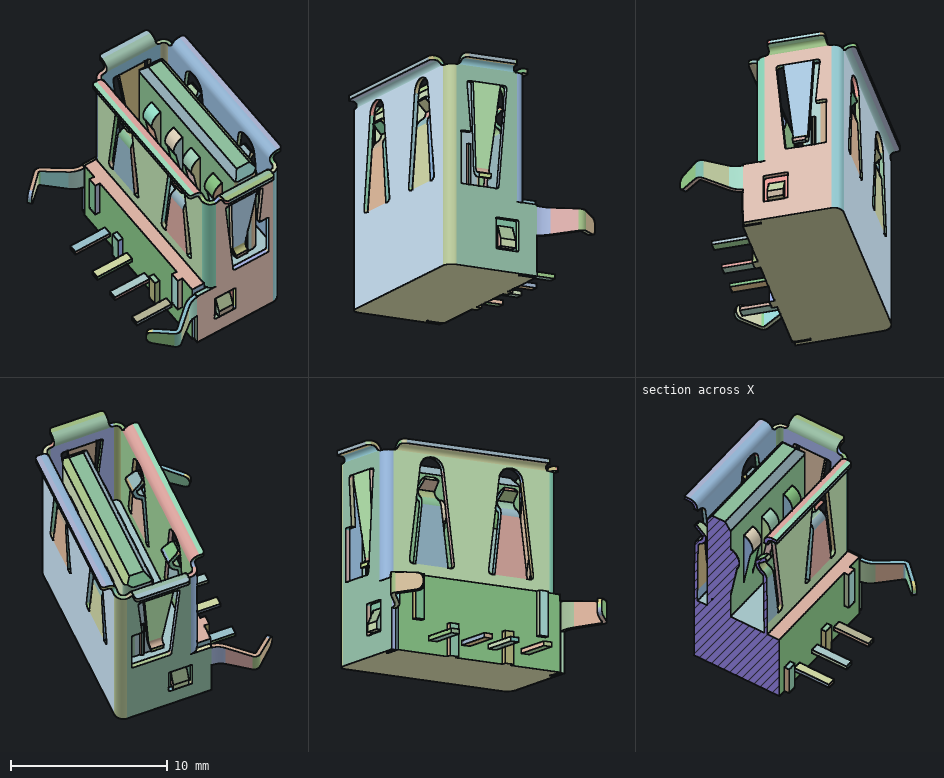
import cadquery as cq
import math


sheet = 0.3
shell_x = 13.1
shell_y = 5.72
corner_r = 0.65
bend_r = corner_r - sheet / 2
total_z = 14.0
lip_z = total_z - corner_r
half_x = shell_x / 2
half_y = shell_y / 2
cavity_x = shell_x - 2 * sheet
cavity_y = shell_y - 2 * sheet

flange_reach = 1.03
flange_root_r = 0.3
flange_corner_r = 0.25

spring_x = 3.0
window_base_z = 6.06
window_base_half = 1.73
window_arch_z = 12.3
window_arch_r = 0.91
slot_w = 0.5
spring_tip_half = 0.5
spring_bend_z = 10.34
spring_dip_z = 10.7
spring_lip_z = 11.2
spring_end_z = 11.83
spring_top_z = 11.97
spring_lean = 0.05
spring_depth = 0.66
spring_lip_reach = 0.7
spring_bend_r = 0.5
spring_dip_r = 0.72
spring_lip_r = sheet / 2
spring_tip_r = 0.35

side_window_top_z = 12.36
side_window_base_z = 5.45
side_window_top_half = 1.46
side_window_base_half = 0.86
side_relief_y = 1.88
side_relief_z = 9.0
side_window_r = 0.2
side_spring_top_half = 1.0
side_spring_tip_half = 0.42
side_spring_depth = 0.66
side_spring_tip_z = 6.15
side_spring_root_r = 0.5
side_spring_hook_r = 0.5
side_spring_hook_reach = 0.57

cheek_front_y = -3.66
cheek_top_z = 4.76
leg_z = 3.71
leg_root_half = 0.985
leg_tip_half = 0.52
leg_tip_y = -7.78
leg_tip_x = -6.66
leg_bend_y = -4.18
leg_apex_y = -6.15
leg_apex_x = -8.052
leg_bend_r = 1.45
leg_apex_r = 0.27
leg_tip_r = 0.45

barb_y = -1.49
barb_w = 1.08
barb_stand_out = 0.11
barb_reach = half_x + barb_stand_out
barb_base_z = 1.63
barb_ramp_z = 2.15
barb_top_z = 3.08
latch_w = 1.64
latch_base_z = 1.44
latch_top_z = 3.54
latch_r = 0.12

housing_front_y = -3.77
housing_front_x = 12.28
housing_top_z = 5.12
rib_w = 0.66
rib_depth = 0.36
rib_split_z = 2.15
upper_rib_x = 4.7
lower_rib_x = 2.09

tongue_x = 11.12
tongue_back_y = 1.86
tongue_front_y = 0.0
tongue_back_r = 0.62
tongue_front_r = 0.18
tongue_shoulder_z = 12.84
tongue_tip_z = 13.45
tongue_taper_x = 0.53
tongue_taper_y = 0.43
side_rib_y = 0.775
side_rib_base_w = 0.3
side_rib_crest_w = 0.14
side_rib_h = 0.1
side_rib_top_z = 8.45

pin_xs = (-3.5, -1.0, 1.0, 3.5)
pin_w = 0.6
pin_t = 0.3
pin_z = 1.03
pin_tip_y = -6.46
contact_w = 1.0
contact_root_depth = 0.3
contact_root_z = 7.0
contact_flat_z = 9.72
contact_tip_z = 11.22
contact_flat_y = -0.5
contact_peak_y = -0.66


def box(x0, x1, y0, y1, z0, z1):
    """Box given by its limits along each axis."""
    return cq.Workplane("XY").box(x1 - x0, y1 - y0, z1 - z0, centered=False).translate((x0, y0, z0))


def both_sides(body, plane):
    """The body together with its mirror image."""
    return body.union(body.mirror(plane))


def unit(start, end):
    """Unit vector pointing from start to end."""
    length = math.dist(start, end)
    return ((end[0] - start[0]) / length, (end[1] - start[1]) / length)


def turn_angle(d_in, d_out):
    """Signed angle from heading d_in to heading d_out, positive to the left."""
    cross = d_in[0] * d_out[1] - d_in[1] * d_out[0]
    dot = d_in[0] * d_out[0] + d_in[1] * d_out[1]
    return math.atan2(cross, dot)


def rounded_polygon(plane, corners):
    """Closed outline through (point, radius) corners; a radius of zero leaves a corner sharp."""
    outline = cq.Workplane(plane).moveTo(*corners[0][0])
    for index in range(1, len(corners)):
        corner, radius = corners[index]
        if radius == 0:
            outline = outline.lineTo(*corner)
            continue
        before = corners[index - 1][0]
        after = corners[(index + 1) % len(corners)][0]
        d_in = unit(before, corner)
        d_out = unit(corner, after)
        turn = turn_angle(d_in, d_out)
        setback = radius * math.tan(abs(turn) / 2)
        arc_end = (corner[0] + d_out[0] * setback, corner[1] + d_out[1] * setback)
        outline = outline.lineTo(corner[0] - d_in[0] * setback, corner[1] - d_in[1] * setback)
        outline = outline.radiusArc(arc_end, -math.copysign(radius, turn))
    return outline.close()


def bent_strip(plane, path, radii, half_width):
    """Sheet strip whose mid-line follows path, with one mid-line bend radius per inner point."""
    headings = [unit(start, end) for start, end in zip(path, path[1:])]
    headings = [headings[0]] + headings + [headings[-1]]
    radii = [0] + list(radii) + [0]
    left = []
    right = []
    for point, radius, d_in, d_out in zip(path, radii, headings, headings[1:]):
        turn = turn_angle(d_in, d_out)
        spread = 1 + math.cos(turn)
        mitre = ((-d_in[1] - d_out[1]) / spread, (d_in[0] + d_out[0]) / spread)
        for side, shift in ((left, sheet / 2), (right, -sheet / 2)):
            corner = (point[0] + mitre[0] * shift, point[1] + mitre[1] * shift)
            corner_radius = max(radius - math.copysign(1, turn) * shift, 0) if radius else 0
            side.append((corner, corner_radius))
    return rounded_polygon(plane, left + right[::-1]).extrude(half_width, both=True)


def shell_tube():
    outer = cq.Workplane("XY").rect(shell_x, shell_y).extrude(lip_z).edges("|Z").fillet(corner_r)
    inner = cq.Workplane("XY").rect(cavity_x, cavity_y).extrude(lip_z).edges("|Z").fillet(corner_r - sheet)
    return outer.cut(inner)


def flange(inner_face, half_width):
    """Mouth flange flaring towards -Y from a wall whose inner face is at y = -inner_face."""
    mid = inner_face + sheet / 2
    tip = inner_face + flange_reach
    path = [(-mid, lip_z - sheet), (-mid, total_z - sheet / 2), (-tip, total_z - sheet / 2)]
    root_half = half_width + flange_root_r
    body = bent_strip("YZ", path, [bend_r], root_half)
    outline = (
        cq.Workplane("XZ")
        .moveTo(-root_half, lip_z)
        .radiusArc((-half_width, lip_z + flange_root_r), -flange_root_r)
        .lineTo(-half_width, total_z)
        .lineTo(half_width, total_z)
        .lineTo(half_width, lip_z + flange_root_r)
        .radiusArc((root_half, lip_z), -flange_root_r)
        .close()
        .extrude(tip)
    )
    return body.intersect(outline).edges("|Z and <Y").fillet(flange_corner_r)


def mouth_flanges():
    wide = flange(cavity_y / 2, half_x - corner_r - flange_root_r)
    narrow = flange(cavity_x / 2, half_y - corner_r - flange_root_r).rotate((0, 0, 0), (0, 0, 1), -90)
    return both_sides(wide, "XZ").union(both_sides(narrow, "YZ"))


def spring_window():
    """Arched tapering opening through both wide walls, centred on x = 0."""
    slope = math.atan2(window_base_half - window_arch_r, window_arch_z - window_base_z)
    tangent_x = window_arch_r * math.cos(slope)
    tangent_z = window_arch_z + window_arch_r * math.sin(slope)
    body = (
        cq.Workplane("XZ")
        .moveTo(-window_base_half, window_base_z)
        .lineTo(-tangent_x, tangent_z)
        .threePointArc((0, window_arch_z + window_arch_r), (tangent_x, tangent_z))
        .lineTo(window_base_half, window_base_z)
        .close()
        .extrude(shell_y, both=True)
    )
    return body.edges("|Y and <Z").fillet(slot_w / 2)


def contact_spring():
    """Spring finger in the -Y wall, dipping into the cavity and flaring out at its tip."""
    mid_y = -half_y + sheet / 2
    inner_y = mid_y + spring_depth
    path = [
        (mid_y, window_base_z - slot_w / 2),
        (mid_y, window_base_z),
        (mid_y + spring_lean, spring_bend_z),
        (inner_y, spring_dip_z),
        (inner_y, spring_lip_z),
        (inner_y - spring_lip_reach, spring_end_z),
    ]
    body = bent_strip("YZ", path, [0, spring_bend_r, spring_dip_r, spring_lip_r], window_base_half)
    root_half = window_base_half - slot_w
    outline = (
        cq.Workplane("XZ")
        .moveTo(-root_half, window_base_z)
        .lineTo(-spring_tip_half, spring_top_z)
        .lineTo(spring_tip_half, spring_top_z)
        .lineTo(root_half, window_base_z)
        .close()
        .extrude(shell_y, both=True)
        .edges("|Y and >Z")
        .fillet(spring_tip_r)
    )
    return body.intersect(outline)


def side_window():
    """Opening through both narrow walls: a downward taper with a square relief at the back."""
    taper = (
        cq.Workplane("YZ")
        .polyline([
            (-side_window_top_half, side_window_top_z),
            (side_window_top_half, side_window_top_z),
            (side_window_base_half, side_window_base_z),
            (-side_window_base_half, side_window_base_z),
        ])
        .close()
        .extrude(shell_x, both=True)
        .edges("|X")
        .fillet(side_window_r)
    )
    relief = box(-shell_x, shell_x, 0, side_relief_y, side_window_base_z, side_relief_z)
    return taper.union(relief.edges("|X and >Y").fillet(side_window_r / 2))


def side_spring():
    """Spring finger of the -X wall, leaning inwards and hooked outwards at its lower end."""
    top_x = -half_x + sheet / 2
    low_x = top_x + side_spring_depth
    tip_mid_z = side_spring_tip_z + sheet / 2
    path = [
        (top_x, side_window_top_z + side_window_r),
        (top_x, side_window_top_z),
        (low_x, tip_mid_z),
        (low_x - side_spring_hook_reach, tip_mid_z),
    ]
    body = bent_strip("XZ", path, [side_spring_root_r, side_spring_hook_r], side_window_top_half)
    outline = (
        cq.Workplane("YZ")
        .polyline([
            (-side_spring_top_half, side_window_top_z),
            (side_spring_top_half, side_window_top_z),
            (side_spring_tip_half, side_spring_tip_z),
            (-side_spring_tip_half, side_spring_tip_z),
        ])
        .close()
        .extrude(shell_x, both=True)
    )
    return body.intersect(outline)


def board_leg():
    """Zigzag snap leg continuing the -X cheek towards -Y, tapering to a rounded tip."""
    mid_x = -half_x + sheet / 2
    path = [
        (mid_x, cheek_front_y),
        (mid_x, leg_bend_y),
        (leg_apex_x, leg_apex_y),
        (leg_tip_x, leg_tip_y + sheet / 2 * math.sqrt(0.5)),
    ]
    body = bent_strip("XY", path, [leg_bend_r, leg_apex_r], total_z)
    taper = (
        cq.Workplane("YZ")
        .polyline([
            (cheek_front_y, leg_z - leg_root_half),
            (cheek_front_y, leg_z + leg_root_half),
            (leg_tip_y, leg_z + leg_tip_half),
            (leg_tip_y, leg_z - leg_tip_half),
        ])
        .close()
        .extrude(shell_x, both=True)
    )
    return body.intersect(taper).faces("<Y").edges("not |Z").fillet(leg_tip_r)


def latch_window():
    body = box(
        -shell_x, shell_x,
        barb_y - latch_w / 2, barb_y + latch_w / 2,
        latch_base_z, latch_top_z,
    )
    return body.edges("|X").fillet(latch_r)


def side_cheek():
    """Flat lower part of the -X wall, running forward past the front wall."""
    return box(-half_x, -half_x + sheet, cheek_front_y, 0, 0, cheek_top_z)


def shell():
    body = shell_tube()
    body = body.cut(box(-half_x, half_x, -half_y, -half_y + corner_r, 0, cheek_top_z))
    body = body.union(both_sides(side_cheek(), "YZ"))
    for x in (-spring_x, spring_x):
        body = body.cut(spring_window().translate((x, 0, 0)))
    body = body.cut(side_window()).cut(latch_window())
    for x in (-spring_x, spring_x):
        body = body.union(both_sides(contact_spring(), "XZ").translate((x, 0, 0)))
    body = body.union(both_sides(side_spring(), "YZ"))
    body = body.union(both_sides(board_leg(), "YZ"))
    return body.union(mouth_flanges())


def latch_barb():
    """Wedge on the -X face of the housing that snaps into the latch window."""
    return (
        cq.Workplane("XZ")
        .polyline([
            (-cavity_x / 2 + sheet, barb_top_z),
            (-cavity_x / 2, barb_top_z),
            (-barb_reach, barb_ramp_z),
            (-barb_reach, barb_base_z),
            (-cavity_x / 2 + sheet, barb_base_z),
        ])
        .close()
        .extrude(barb_w / 2, both=True)
        .translate((0, barb_y, 0))
    )


def front_rib(x, z0, z1):
    return box(x - rib_w / 2, x + rib_w / 2, housing_front_y - rib_depth, housing_front_y, z0, z1)


def tongue():
    mid_y = (tongue_back_y + tongue_front_y) / 2
    depth = tongue_back_y - tongue_front_y
    blade = (
        cq.Workplane("XY")
        .rect(tongue_x, depth)
        .extrude(tongue_tip_z)
        .edges("|Z and >Y").fillet(tongue_back_r)
        .edges("|Z and <Y").fillet(tongue_front_r)
    )
    point = (
        cq.Workplane("XY", origin=(0, 0, tongue_shoulder_z))
        .rect(tongue_x, depth)
        .workplane(offset=tongue_tip_z - tongue_shoulder_z)
        .rect(tongue_x - 2 * tongue_taper_x, depth - 2 * tongue_taper_y)
        .loft(ruled=True)
    )
    stem = cq.Workplane("XY").rect(tongue_x, depth).extrude(tongue_shoulder_z)
    return blade.intersect(stem.union(point)).translate((0, mid_y, 0))


def tongue_side_rib():
    """Low vertical rib on the -X side of the tongue."""
    base_x = -tongue_x / 2
    crest_x = base_x - side_rib_h
    return (
        cq.Workplane("XY")
        .polyline([
            (base_x, side_rib_y - side_rib_base_w / 2),
            (base_x, side_rib_y + side_rib_base_w / 2),
            (crest_x, side_rib_y + side_rib_crest_w / 2),
            (crest_x, side_rib_y - side_rib_crest_w / 2),
        ])
        .close()
        .extrude(side_rib_top_z)
    )


def housing():
    core = box(-cavity_x / 2, cavity_x / 2, -cavity_y / 2, cavity_y / 2, 0, housing_top_z)
    core = core.edges("|Z and >Y").fillet(corner_r - sheet)
    front = box(-housing_front_x / 2, housing_front_x / 2, housing_front_y, 0, 0, housing_top_z)
    body = core.union(front).union(both_sides(latch_barb(), "YZ")).union(tongue())
    body = body.union(both_sides(tongue_side_rib(), "YZ"))
    for side in (-1, 1):
        body = body.union(front_rib(side * upper_rib_x, rib_split_z, housing_top_z))
        body = body.union(front_rib(side * lower_rib_x, 0, rib_split_z))
    return body


def terminal(x):
    """Sprung contact on the tongue face and its solder pin."""
    peak_z = (contact_flat_z + contact_tip_z) / 2
    contact = (
        cq.Workplane("YZ")
        .moveTo(tongue_front_y, contact_root_z)
        .lineTo(contact_flat_y, contact_flat_z)
        .threePointArc((contact_peak_y, peak_z), (tongue_front_y, contact_tip_z))
        .lineTo(tongue_front_y + contact_root_depth, contact_tip_z)
        .lineTo(tongue_front_y + contact_root_depth, contact_root_z)
        .close()
        .extrude(contact_w / 2, both=True)
        .translate((x, 0, 0))
    )
    pin = box(x - pin_w / 2, x + pin_w / 2, pin_tip_y, 0, pin_z - pin_t / 2, pin_z + pin_t / 2)
    return contact.union(pin)


result = shell().union(housing())
for pin_x in pin_xs:
    result = result.union(terminal(pin_x))